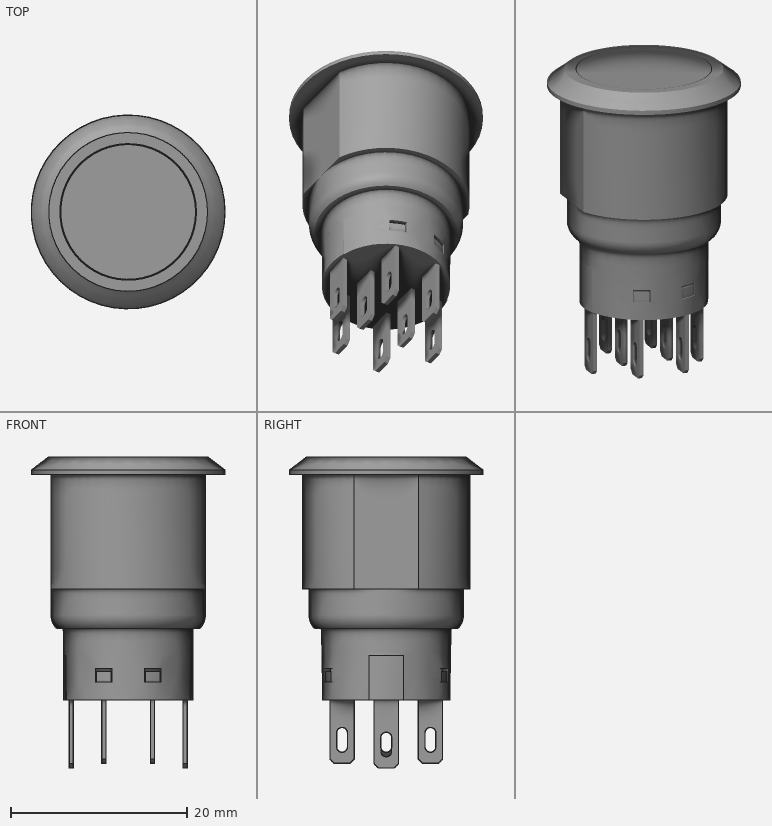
import cadquery as cq
import math

TOTAL_HEIGHT = 35.3

BEZEL_DIAMETER = 22.0
BEZEL_FACE_DIAMETER = 18.0
BEZEL_HEIGHT = 2.0
BEZEL_RIM_HEIGHT = 0.5

GROOVE_OUTER_DIAMETER = 15.5
GROOVE_WIDTH = 0.1
GROOVE_DEPTH = 0.5

BARREL_DIAMETER = 19.0
BARREL_BOTTOM = TOTAL_HEIGHT - 14.95

COLLAR_DIAMETER = 17.5
COLLAR_BOTTOM = TOTAL_HEIGHT - 19.5
COLLAR_ROUND_RADIUS = 2.0
COLLAR_ROUND_HEIGHT = 1.5

NECK_TOP_DIAMETER = 14.75
NECK_BOTTOM_DIAMETER = 14.55
NECK_BOTTOM = TOTAL_HEIGHT - 27.6

PAD_DIAMETER = 14.7
PAD_WIDTH = 3.9
PAD_HEIGHT = 5.1

WINDOW_WIDTH = 1.87
WINDOW_HEIGHT = 1.55
WINDOW_BOTTOM = 9.75
WINDOW_OFFSET = 2.8
WINDOW_FLOOR_DIAMETER = 13.3
LATCH_DIAMETER = 14.3
LATCH_SIDE_GAP = 0.1
LATCH_TOP_GAP = 0.32

TERMINAL_WIDTH = 2.8
TERMINAL_THICKNESS = 0.5
TERMINAL_CORNER = 0.5
TERMINAL_EMBED = 1.05
EYE_WIDTH = 1.2
EYE_LENGTH = 2.8
EYE_ABOVE_TIP = 1.27
INNER_TERMINAL_TIP = 0.53
INNER_TERMINAL_X = 2.75
INNER_TERMINAL_PITCH = 5.0
OUTER_TERMINAL_X = 6.45


def disc(diameter, bottom, top):
    """Solid cylinder on the Z axis between two heights."""
    return cq.Workplane("XY").workplane(offset=bottom).circle(diameter / 2).extrude(top - bottom)


def box(width_x, width_y, bottom, top, x=0.0, y=0.0):
    """Upright box centred on (x, y) between two heights."""
    return (
        cq.Workplane("XY")
        .workplane(offset=bottom)
        .center(x, y)
        .rect(width_x, width_y)
        .extrude(top - bottom)
    )


def turned_body():
    """Bezel, collar with rounded lower edge, and tapered neck."""
    bezel_bottom = TOTAL_HEIGHT - BEZEL_HEIGHT
    collar_radius = COLLAR_DIAMETER / 2
    round_start = COLLAR_BOTTOM + COLLAR_ROUND_HEIGHT
    arc_center = collar_radius - COLLAR_ROUND_RADIUS
    arc_angle = math.asin(COLLAR_ROUND_HEIGHT / COLLAR_ROUND_RADIUS)

    def on_arc(angle):
        return (
            arc_center + COLLAR_ROUND_RADIUS * math.cos(angle),
            round_start - COLLAR_ROUND_RADIUS * math.sin(angle),
        )

    return (
        cq.Workplane("XZ")
        .moveTo(0, TOTAL_HEIGHT)
        .lineTo(BEZEL_FACE_DIAMETER / 2, TOTAL_HEIGHT)
        .lineTo(BEZEL_DIAMETER / 2, bezel_bottom + BEZEL_RIM_HEIGHT)
        .lineTo(BEZEL_DIAMETER / 2, bezel_bottom)
        .lineTo(collar_radius, bezel_bottom)
        .lineTo(collar_radius, round_start)
        .threePointArc(on_arc(arc_angle / 2), on_arc(arc_angle))
        .lineTo(NECK_TOP_DIAMETER / 2, COLLAR_BOTTOM)
        .lineTo(NECK_BOTTOM_DIAMETER / 2, NECK_BOTTOM)
        .lineTo(0, NECK_BOTTOM)
        .close()
        .revolve(360, (0, 0, 0), (0, 1, 0))
    )


def barrel():
    """Cylinder cut to two flats that lie flush with the collar."""
    top = TOTAL_HEIGHT - BEZEL_HEIGHT
    between_flats = box(COLLAR_DIAMETER, BARREL_DIAMETER, BARREL_BOTTOM, top)
    return disc(BARREL_DIAMETER, BARREL_BOTTOM, top).intersect(between_flats)


def neck_pads():
    """Untapered strips of the neck on the +X and -X sides."""
    top = NECK_BOTTOM + PAD_HEIGHT
    strip = box(PAD_DIAMETER, PAD_WIDTH, NECK_BOTTOM, top)
    return disc(PAD_DIAMETER, NECK_BOTTOM, top).intersect(strip)


def button_groove():
    """Narrow ring that separates the button from the bezel."""
    bottom = TOTAL_HEIGHT - GROOVE_DEPTH
    button = disc(GROOVE_OUTER_DIAMETER - 2 * GROOVE_WIDTH, bottom, TOTAL_HEIGHT)
    return disc(GROOVE_OUTER_DIAMETER, bottom, TOTAL_HEIGHT).cut(button)


def latch_gap(x, side):
    """Material to remove at one window, on the +Y (side = 1) or -Y (side = -1) face."""
    top = WINDOW_BOTTOM + WINDOW_HEIGHT
    latch_top = top - LATCH_TOP_GAP
    latch_width = WINDOW_WIDTH - 2 * LATCH_SIDE_GAP
    reach = NECK_TOP_DIAMETER / 2
    window = box(WINDOW_WIDTH, reach, WINDOW_BOTTOM, top, x, side * reach)
    latch = box(latch_width, reach, WINDOW_BOTTOM, latch_top, x, side * reach)
    latch = latch.intersect(disc(LATCH_DIAMETER, WINDOW_BOTTOM, latch_top))
    return window.cut(disc(WINDOW_FLOOR_DIAMETER, WINDOW_BOTTOM, top)).cut(latch)


def terminal(x, y, tip):
    """Flat solder tag facing X, with clipped lower corners and an oblong eye."""
    top = NECK_BOTTOM + TERMINAL_EMBED
    blade = box(TERMINAL_THICKNESS, TERMINAL_WIDTH, tip, top, x, y)
    blade = blade.faces("<Z").edges("|X").chamfer(TERMINAL_CORNER)
    eye_height = tip + EYE_ABOVE_TIP + EYE_LENGTH / 2
    eye = (
        cq.Workplane("YZ", origin=(x, y, eye_height))
        .slot2D(EYE_LENGTH, EYE_WIDTH, 90)
        .extrude(TERMINAL_THICKNESS, both=True)
    )
    return blade.cut(eye)


result = turned_body().union(barrel()).union(neck_pads()).cut(button_groove())

for side in (-1, 1):
    for x in (-WINDOW_OFFSET, WINDOW_OFFSET):
        result = result.cut(latch_gap(x, side))

for side in (-1, 1):
    result = result.union(terminal(side * OUTER_TERMINAL_X, 0, 0))
    for row in (-1, 0, 1):
        y = row * INNER_TERMINAL_PITCH
        result = result.union(terminal(side * INNER_TERMINAL_X, y, INNER_TERMINAL_TIP))